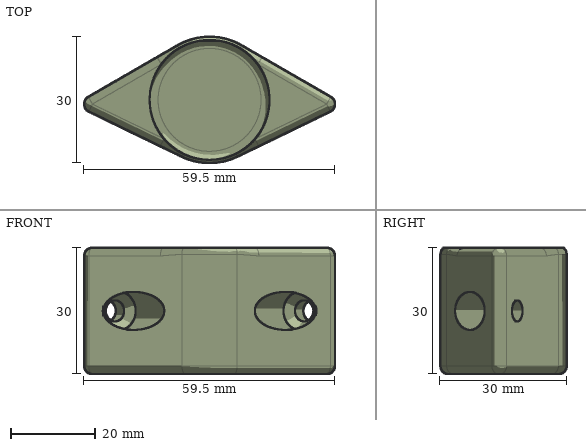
import cadquery as cq
import math

height = 30.0
barrel_radius = 15.0
bore_radius = 14.2
floor_thickness = 2.0
edge_radius = 2.0
back_slope = 30.0
tip_drop = 1.0

screw_diameter = 5.0
head_diameter = 9.0
screw_length = 4.0
screw_from_tip = 5.0
head_clearance = 25.0

overrun = 2.0

rim_radius = edge_radius - 0.01
size_tolerance = 0.01

flat_distance = 14.0

slope = math.radians(back_slope)
inset = barrel_radius - edge_radius
tip_x = (inset + tip_drop * math.cos(slope)) / math.sin(slope)

tip_distance = math.hypot(tip_x, tip_drop)
front_slope = 2 * math.asin(inset / tip_distance) - slope


def on_circle(centre, radius, angle):
    """Point on a circle in the XY plane; angle in radians from +X."""
    return (centre[0] + radius * math.cos(angle), centre[1] + radius * math.sin(angle))


def make_body():
    """Two-winged prism: a barrel blended by tangent faces into rounded tips."""
    origin = (0, 0)
    right_tip = (tip_x, -tip_drop)
    left_tip = (-tip_x, -tip_drop)
    quarter = math.pi / 2
    back_right = quarter - slope
    back_left = quarter + slope
    front_right = -quarter + front_slope
    front_left = -quarter - front_slope
    right_end = (back_right + front_right) / 2
    left_end = math.pi - right_end
    outline = (
        cq.Workplane("XY")
        .moveTo(*on_circle(origin, barrel_radius, back_right))
        .lineTo(*on_circle(right_tip, edge_radius, back_right))
        .threePointArc(
            on_circle(right_tip, edge_radius, right_end),
            on_circle(right_tip, edge_radius, front_right),
        )
        .lineTo(*on_circle(origin, barrel_radius, front_right))
        .threePointArc(
            on_circle(origin, barrel_radius, -quarter),
            on_circle(origin, barrel_radius, front_left),
        )
        .lineTo(*on_circle(left_tip, edge_radius, front_left))
        .threePointArc(
            on_circle(left_tip, edge_radius, left_end),
            on_circle(left_tip, edge_radius, back_left),
        )
        .lineTo(*on_circle(origin, barrel_radius, back_left))
        .threePointArc(
            on_circle(origin, barrel_radius, quarter),
            on_circle(origin, barrel_radius, back_right),
        )
        .close()
    )
    return outline.extrude(height)


def is_outer_edge(edge):
    """True for an edge that is not an arc of the bore."""
    return edge.geomType() != "CIRCLE" or abs(edge.radius() - bore_radius) > size_tolerance


def round_rim(body, side):
    """Round the outer rim of the body on its top or bottom face."""
    return body.faces(side).edges().filter(is_outer_edge).fillet(rim_radius)


def make_bore():
    """Blind round pocket with a rounded floor."""
    depth = height - floor_thickness
    return (
        cq.Workplane("XY", origin=(0, 0, floor_thickness))
        .circle(bore_radius)
        .extrude(depth)
        .faces("<Z")
        .edges()
        .fillet(edge_radius)
    )


def make_flat():
    """Sliver between the bore wall and a chord of it, forming the narrow flat."""
    half_width = math.sqrt(bore_radius**2 - flat_distance**2)
    return (
        cq.Workplane("XY", origin=(0, 0, floor_thickness))
        .moveTo(-half_width, flat_distance)
        .threePointArc((0, bore_radius), (half_width, flat_distance))
        .close()
        .extrude(height - floor_thickness)
    )


def make_screw_hole():
    """Countersunk hole of the right wing, revolved about its own axis."""
    screw_radius = screw_diameter / 2
    head_radius = head_diameter / 2
    sink_end = screw_length + head_radius - screw_radius
    tip_end = on_circle((tip_x, -tip_drop), edge_radius, math.pi / 2 - slope)
    entry = (
        tip_end[0] - screw_from_tip * math.cos(slope),
        tip_end[1] + screw_from_tip * math.sin(slope),
        height / 2,
    )
    axis = cq.Plane(
        origin=entry,
        xDir=(math.cos(slope), -math.sin(slope), 0),
        normal=(0, 0, 1),
    )
    return (
        cq.Workplane(axis)
        .moveTo(0, overrun)
        .lineTo(screw_radius, overrun)
        .lineTo(screw_radius, -screw_length)
        .lineTo(head_radius, -sink_end)
        .lineTo(head_radius, -head_clearance)
        .lineTo(0, -head_clearance)
        .close()
        .revolve(360, (0, 0, 0), (0, 1, 0))
    )


screw_hole = make_screw_hole()
bored = round_rim(make_body(), "<Z").cut(make_bore())
result = (
    round_rim(bored, ">Z")
    .union(make_flat())
    .cut(screw_hole)
    .cut(screw_hole.mirror("YZ"))
)